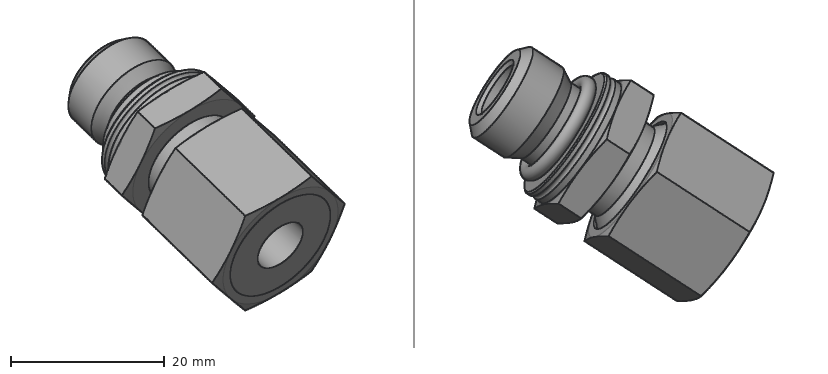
import cadquery as cq
import math

total_length = 37.0
across_flats = 19.0
hex_chamfer_angle = 15.0
flat_radius = across_flats / 2
corner_radius = flat_radius / math.cos(math.radians(30))

stud_radius = 7.0
stud_chamfer = 1.2
stud_end = 6.05
neck_start = 8.0
neck_radius = 5.92

ring_wire_radius = 1.0

collar_start = 11.03
collar_radius = 9.32
collar_chamfer = 0.22
groove_start = 11.85
groove_width = 0.78
groove_depth = 0.3

hex_start = 13.55
hex_end = 18.0
shank_radius = 6.9
shank_end = 20.57
spigot_radius = 8.3
spigot_start = shank_end + spigot_radius - shank_radius

bore_radius = 3.75
bore_chamfer = 0.5

nut_start = 21.5


def revolve_about_x(points):
    """Turn a closed (x, radius) outline about the X axis."""
    return cq.Workplane("XY").polyline(points).close().revolve(360, (0, 0, 0), (1, 0, 0))


def chamfered_hexagon(start, end):
    """Hexagonal prism along X, flats facing +Z and -Z, corners turned off at both ends."""
    prism = cq.Workplane("YZ", origin=(start, 0, 0)).polygon(6, 2 * corner_radius).extrude(end - start)
    chamfer_length = (corner_radius - flat_radius) * math.tan(math.radians(hex_chamfer_angle))
    envelope = revolve_about_x([
        (start, 0),
        (start, flat_radius),
        (start + chamfer_length, corner_radius),
        (end - chamfer_length, corner_radius),
        (end, flat_radius),
        (end, 0),
    ])
    return prism.intersect(envelope)


def make_groove_cutter():
    """Ring with a round bottom that cuts the identification groove into the collar."""
    return (
        cq.Workplane("XY")
        .moveTo(groove_start, collar_radius)
        .threePointArc(
            (groove_start + groove_width / 2, collar_radius - groove_depth),
            (groove_start + groove_width, collar_radius),
        )
        .lineTo(groove_start + groove_width, corner_radius)
        .lineTo(groove_start, corner_radius)
        .close()
        .revolve(360, (0, 0, 0), (1, 0, 0))
    )


def make_body():
    """Stud, collar, hexagon, shank and spigot with one through bore."""
    turned = revolve_about_x([
        (0, 0),
        (0, stud_radius - stud_chamfer),
        (stud_chamfer, stud_radius),
        (stud_end, stud_radius),
        (neck_start, neck_radius),
        (collar_start, neck_radius),
        (collar_start, collar_radius - collar_chamfer),
        (collar_start + collar_chamfer, collar_radius),
        (hex_start, collar_radius),
        (hex_start, shank_radius),
        (shank_end, shank_radius),
        (spigot_start, spigot_radius),
        (total_length, spigot_radius),
        (total_length, 0),
    ])
    bore = revolve_about_x([
        (0, 0),
        (0, bore_radius + bore_chamfer),
        (bore_chamfer, bore_radius),
        (total_length, bore_radius),
        (total_length, 0),
    ])
    return turned.union(chamfered_hexagon(hex_start, hex_end)).cut(make_groove_cutter()).cut(bore)


def make_o_ring():
    """Round-section ring resting on the neck and against the collar face."""
    ring = cq.Solid.makeTorus(
        neck_radius + ring_wire_radius,
        ring_wire_radius,
        cq.Vector(collar_start - ring_wire_radius, 0, 0),
        cq.Vector(1, 0, 0),
    )
    return cq.Workplane(ring)


def make_nut():
    """Hexagon nut with a plain hole, fitted over the spigot."""
    spigot_hole = cq.Workplane("YZ").circle(spigot_radius).extrude(total_length)
    return chamfered_hexagon(nut_start, total_length).cut(spigot_hole)


body = make_body()
o_ring = make_o_ring()
nut = make_nut()

result = cq.Compound.makeCompound([body.val(), o_ring.val(), nut.val()])